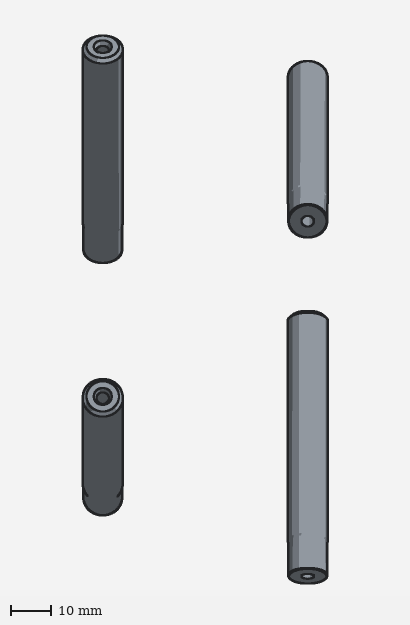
import cadquery as cq

length = 70.0
body_diameter = 10.0
body_radius = body_diameter / 2

top_chamfer = 1.0

spigot_diameter = 9.7
spigot_radius = spigot_diameter / 2
spigot_length = 9.0
step_height = 0.55
bottom_chamfer = 0.2

bore_diameter = 3.1
countersink_diameter = 4.5
countersink_angle = 60


def make_rod():
    """Revolve the outer half profile about the Z axis."""
    return (
        cq.Workplane("XZ")
        .moveTo(0, 0)
        .lineTo(spigot_radius - bottom_chamfer, 0)
        .lineTo(spigot_radius, bottom_chamfer)
        .lineTo(spigot_radius, spigot_length)
        .lineTo(body_radius, spigot_length + step_height)
        .lineTo(body_radius, length - top_chamfer)
        .lineTo(body_radius - top_chamfer, length)
        .lineTo(0, length)
        .close()
        .revolve(360, (0, 0, 0), (0, 1, 0))
    )


def cut_bore(rod):
    """Drill the countersunk bore along the whole rod."""
    return rod.faces(">Z").workplane().cskHole(bore_diameter, countersink_diameter, countersink_angle)


result = cut_bore(make_rod())